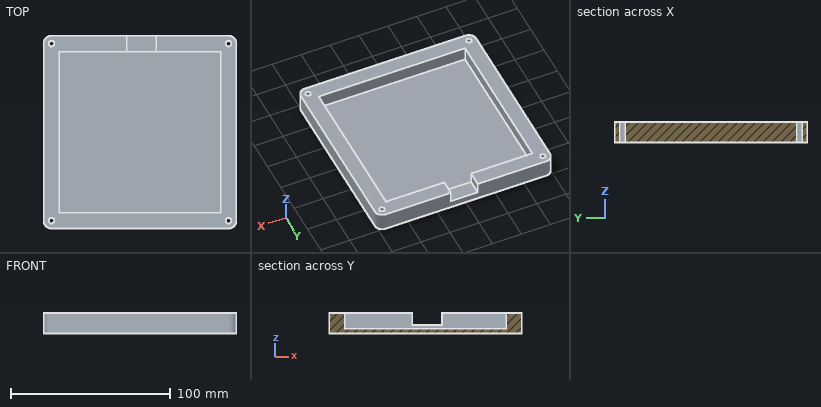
import cadquery as cq

side = 121.0
height = 13.0
corner_radius = 5.0

wall_thickness = 10.0
floor_thickness = 3.0
pocket_side = side - 2 * wall_thickness

hole_diameter = 3.4
hole_spacing = side - 2 * corner_radius

notch_width = 18.5
notch_center_x = 1.0
notch_bottom = 5.5


def make_body():
    """Square plate with rounded vertical edges, sitting on Z = 0."""
    return cq.Workplane("XY").rect(side, side).extrude(height).edges("|Z").fillet(corner_radius)


def make_pocket():
    """Sharp-cornered square cavity above the floor."""
    return (
        cq.Workplane("XY")
        .workplane(offset=floor_thickness)
        .rect(pocket_side, pocket_side)
        .extrude(height - floor_thickness)
    )


def make_screw_holes():
    """Four through holes, one in each corner."""
    return (
        cq.Workplane("XY")
        .rect(hole_spacing, hole_spacing, forConstruction=True)
        .vertices()
        .circle(hole_diameter / 2)
        .extrude(height)
    )


def make_notch():
    """Rectangular gap across the full thickness of the +Y wall."""
    wall_center_y = (side - wall_thickness) / 2
    return (
        cq.Workplane("XY")
        .workplane(offset=notch_bottom)
        .center(notch_center_x, wall_center_y)
        .rect(notch_width, wall_thickness)
        .extrude(height - notch_bottom)
    )


result = make_body().cut(make_pocket()).cut(make_screw_holes()).cut(make_notch())